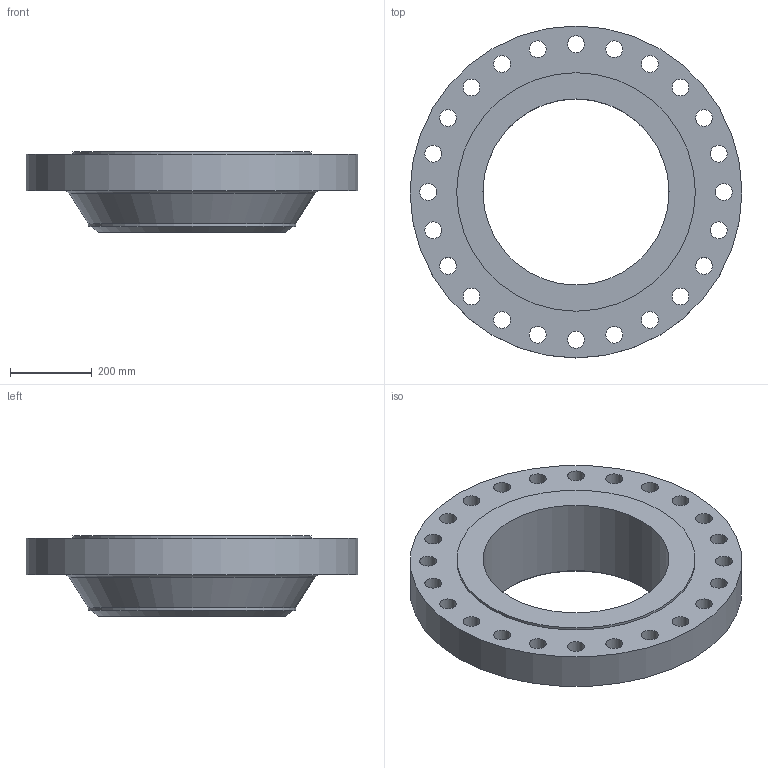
import cadquery as cq
import math

flange_diameter = 812.8
flange_thickness = 88.9
face_diameter = 584.2
face_height = 6.35

overall_height = 196.85
hub_base_diameter = 609.6
hub_fillet_radius = 14.3
weld_end_diameter = 508.0
weld_end_straight = 6.35
bore_diameter = 455.6
land_width = 1.6
bevel_break_depth = 19.05
inner_bevel_angle = 37.5
outer_bevel_angle = 10.0

bolt_circle_diameter = 723.9
bolt_hole_diameter = 41.275
bolt_hole_count = 24

flange_top = overall_height - face_height
flange_bottom = flange_top - flange_thickness
bore_radius = bore_diameter / 2
land_radius = bore_radius + land_width
break_radius = bore_radius + bevel_break_depth
weld_end_radius = weld_end_diameter / 2
break_height = (break_radius - land_radius) * math.tan(math.radians(inner_bevel_angle))
bevel_height = break_height + (weld_end_radius - break_radius) * math.tan(math.radians(outer_bevel_angle))
taper_bottom = bevel_height + weld_end_straight


def make_body():
    """Revolve the weld-neck half section about Z."""
    section = (
        cq.Workplane("XZ")
        .moveTo(bore_radius, 0)
        .lineTo(land_radius, 0)
        .lineTo(break_radius, break_height)
        .lineTo(weld_end_radius, bevel_height)
        .lineTo(weld_end_radius, taper_bottom)
        .lineTo(hub_base_diameter / 2, flange_bottom)
        .lineTo(flange_diameter / 2, flange_bottom)
        .lineTo(flange_diameter / 2, flange_top)
        .lineTo(face_diameter / 2, flange_top)
        .lineTo(face_diameter / 2, overall_height)
        .lineTo(bore_radius, overall_height)
        .close()
    )
    return section.revolve(360, (0, 0, 0), (0, 1, 0))


def fillet_hub_base(body):
    """Round the inside corner between the hub taper and the flange back face."""
    reach = hub_base_diameter / 2 + hub_fillet_radius
    corner_zone = cq.selectors.BoxSelector(
        (-reach, -reach, flange_bottom - hub_fillet_radius),
        (reach, reach, flange_bottom + hub_fillet_radius),
        boundingbox=True,
    )
    return body.edges(corner_zone).fillet(hub_fillet_radius)


def make_bolt_holes():
    """Full-height cylinders on the bolt circle, the first one on +X."""
    return (
        cq.Workplane("XY")
        .polarArray(bolt_circle_diameter / 2, 0, 360, bolt_hole_count)
        .circle(bolt_hole_diameter / 2)
        .extrude(overall_height)
    )


result = fillet_hub_base(make_body()).cut(make_bolt_holes())